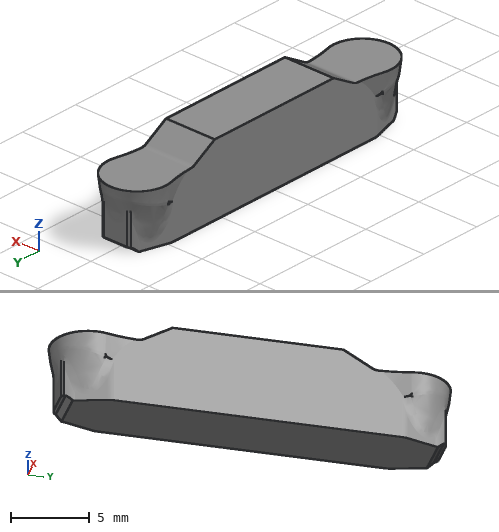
import cadquery as cq
import math

LENGTH = 26.29
HEIGHT = 5.85
BODY_HALF_WIDTH = 2.1

HEAD_RADIUS = 2.495
HEAD_TOP = 4.65
HEAD_CENTRE = LENGTH / 2 - HEAD_RADIUS
NECK_RADIUS = 11.0
NECK_JOIN_ANGLE = 14.2
HEAD_ROOT = 6.0
PRIMARY_CLEARANCE = 7.0
LOWER_CONE_FOOT = 0.4
LOWER_CONE_RADIUS = 1.69
CLEARANCE_TILT = 15.0
CLEARANCE_MID_Z = 3.23

RAMP_ANGLE = 30.0
RAMP_FOOT = 7.69
RAMP_FILLET = 0.8

NOSE_Y = 12.665
NOSE_HALF_WIDTH = 0.985
NOSE_CHAMFER_X = 0.235
NOSE_CHAMFER_Y = 0.12
CHEEK_MID = (1.36, 12.25)
CHEEK_END = (1.45, 11.85)
FLANK_END_Y = 9.66
FLANK_FILLET = 1.4

NOSE_LIP_Z = 0.43
NOSE_LIP_DROP = 0.05
NOSE_LIP_DEPTH = 0.235
NOSE_BEVEL_END = 12.01

CLEARANCE_FILLET = 2.0
SHANK_BLEND = 1.6
BLEND_TOP = 3.3
EDGE_BAND_BOTTOM = 4.5


def edge_near(x, y, z):
    """Selector for the single edge nearest to a point."""
    return cq.selectors.NearestToPointSelector((x, y, z))


def head_zone(bottom, top):
    """Selector for edges centred on the outer half of the head, between two heights."""
    return cq.selectors.BoxSelector((-HEAD_RADIUS, HEAD_CENTRE, bottom), (HEAD_RADIUS, LENGTH / 2, top))


def make_shank():
    """The +Y half of body and shank: plan outline extruded, then cut to the side profile."""
    cheek_start = (NOSE_HALF_WIDTH + NOSE_CHAMFER_X, NOSE_Y - NOSE_CHAMFER_Y)
    quarter = (
        cq.Workplane("XY")
        .lineTo(0, NOSE_Y)
        .lineTo(NOSE_HALF_WIDTH, NOSE_Y)
        .lineTo(*cheek_start)
        .threePointArc(CHEEK_MID, CHEEK_END)
        .lineTo(BODY_HALF_WIDTH, FLANK_END_Y)
        .lineTo(BODY_HALF_WIDTH, 0)
        .close()
        .extrude(HEIGHT)
    )
    flank_edge = edge_near(BODY_HALF_WIDTH, FLANK_END_Y, HEIGHT / 2)
    quarter = quarter.edges(flank_edge).fillet(FLANK_FILLET)
    half = quarter.union(quarter.mirror("YZ")).clean()
    return half.intersect(make_side_profile())


def make_side_profile():
    """Side profile of the insert, extruded across the full width."""
    ramp_run = (HEIGHT - HEAD_TOP) / math.tan(math.radians(RAMP_ANGLE))
    plus_y_side = [
        (NOSE_BEVEL_END, 0),
        (NOSE_Y - NOSE_LIP_DEPTH, NOSE_LIP_Z - NOSE_LIP_DROP),
        (NOSE_Y, NOSE_LIP_Z),
        (NOSE_Y, HEAD_TOP),
        (RAMP_FOOT, HEAD_TOP),
        (RAMP_FOOT - ramp_run, HEIGHT),
    ]
    minus_y_side = [(-y, z) for y, z in reversed(plus_y_side)]
    profile = (
        cq.Workplane("YZ")
        .polyline(plus_y_side + minus_y_side)
        .close()
        .extrude(BODY_HALF_WIDTH, both=True)
    )
    for side in (1, -1):
        foot = edge_near(0, side * RAMP_FOOT, HEAD_TOP)
        profile = profile.edges(foot).fillet(RAMP_FILLET)
    return profile


def make_upper_head():
    """Head with the primary clearance, kept only above the tilted clearance line."""
    reach = HEAD_RADIUS + NECK_RADIUS
    join_angle = math.radians(NECK_JOIN_ANGLE)
    arc_x = reach * math.cos(join_angle)
    arc_y = HEAD_CENTRE - reach * math.sin(join_angle)
    end_angle = math.acos((arc_x - BODY_HALF_WIDTH) / NECK_RADIUS)

    def neck_point(angle):
        return arc_x - NECK_RADIUS * math.cos(angle), arc_y + NECK_RADIUS * math.sin(angle)

    neck_x, neck_y = neck_point(end_angle)
    neck_mid_x, neck_mid_y = neck_point((end_angle + join_angle) / 2)
    join_x, join_y = neck_point(join_angle)
    head = (
        cq.Workplane("XY", origin=(0, 0, HEAD_TOP))
        .moveTo(-BODY_HALF_WIDTH, HEAD_ROOT)
        .lineTo(BODY_HALF_WIDTH, HEAD_ROOT)
        .lineTo(neck_x, neck_y)
        .threePointArc((neck_mid_x, neck_mid_y), (join_x, join_y))
        .threePointArc((0, HEAD_CENTRE + HEAD_RADIUS), (-join_x, join_y))
        .threePointArc((-neck_mid_x, neck_mid_y), (-neck_x, neck_y))
        .close()
        .extrude(-HEAD_TOP, taper=PRIMARY_CLEARANCE)
    )
    below = (
        cq.Workplane(tilted_plane())
        .rect(LENGTH, LENGTH)
        .extrude(-LENGTH)
    )
    return head.cut(below)


def tilted_plane(y_offset=0.0):
    """Plane of the line between the two clearances, rising towards the nose."""
    tilt = math.radians(CLEARANCE_TILT)
    return cq.Plane(
        origin=(0, HEAD_CENTRE + y_offset, CLEARANCE_MID_Z + y_offset * math.tan(tilt)),
        xDir=(0, -math.cos(tilt), -math.sin(tilt)),
        normal=(0, -math.sin(tilt), math.cos(tilt)),
    )


def make_lower_head():
    """Secondary clearance: from the tilted section of the upper cone to the foot circle."""
    slope = math.tan(math.radians(PRIMARY_CLEARANCE))
    rise = math.tan(math.radians(CLEARANCE_TILT))
    mid_radius = HEAD_RADIUS - (HEAD_TOP - CLEARANCE_MID_Z) * slope
    front = mid_radius / (1 - slope * rise)
    back = mid_radius / (1 + slope * rise)
    offset = (front - back) / 2
    half_length = (front + back) / 2 / math.cos(math.radians(CLEARANCE_TILT))
    half_width = math.sqrt(front * back)
    section = cq.Workplane(tilted_plane(offset)).ellipse(half_length, half_width).wires().val()
    foot_plane = cq.Plane(origin=(0, HEAD_CENTRE, LOWER_CONE_FOOT), xDir=(0, -1, 0), normal=(0, 0, 1))
    foot = cq.Workplane(foot_plane).circle(LOWER_CONE_RADIUS).wires().val()
    return cq.Workplane(cq.Solid.makeLoft([section, foot], True))


def round_clearance_line(head):
    """Soften the line where the two clearances of a head meet."""
    return head.edges(head_zone(CLEARANCE_MID_Z, EDGE_BAND_BOTTOM)).fillet(CLEARANCE_FILLET)


def blend_head_into_shank(insert_end):
    """Round the curved edges where the lower clearance runs into the shank."""
    return insert_end.edges("%BSPLINE").edges(head_zone(LOWER_CONE_FOOT, BLEND_TOP)).fillet(SHANK_BLEND)


head = round_clearance_line(make_upper_head().union(make_lower_head()))
insert_end = blend_head_into_shank(make_shank().union(head))
result = insert_end.union(insert_end.mirror("XZ")).clean()